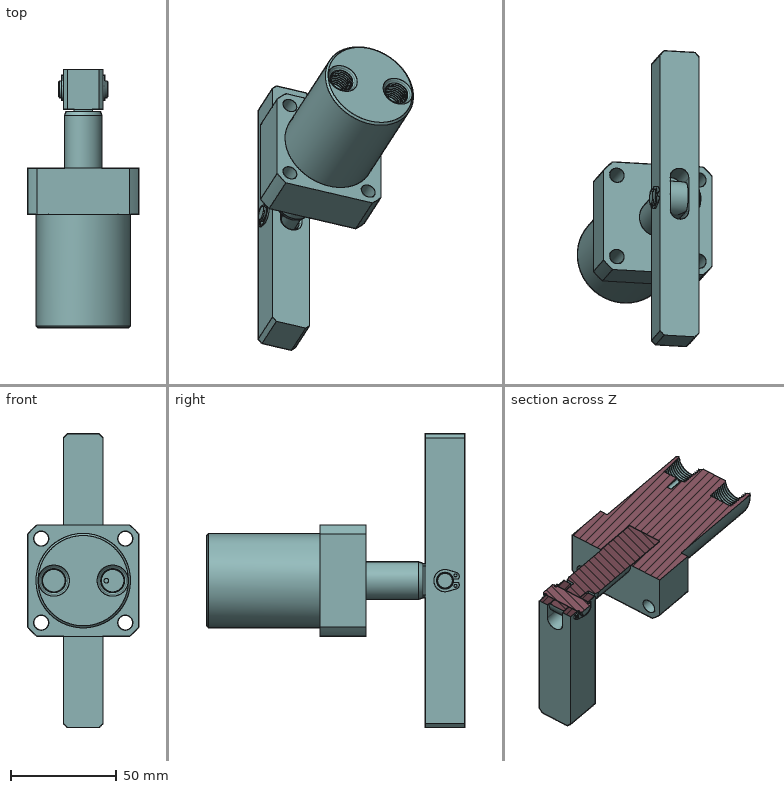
import cadquery as cq
import math


flange_size = 53.0
flange_thickness = 22.0
flange_corner_diameter = 69.0
mount_hole_diameter = 7.0
mount_hole_spacing = 40.0
barrel_diameter = 45.0
barrel_length = 54.0
barrel_chamfer = 1.0
barrel_end_y = -(flange_thickness + barrel_length)

port_spacing = 28.0
port_major_diameter = 13.157
port_minor_diameter = 11.445
port_pitch = 1.337
port_thread_turns = 9
port_taper = 1 / 16
port_mouth_diameter = 14.8
port_mouth_depth = (port_mouth_diameter - port_major_diameter) / 2
port_depth = port_mouth_depth + port_thread_turns * port_pitch

passage_diameter = 2.2
passage_x = 11.0
passage_length = 8.0

rod_diameter = 18.0
rod_end_y = 27.0
rod_chamfer_length = 2.0
tongue_diameter = 16.5
tongue_thickness = 9.0
rod_chamfer_height = (rod_diameter - tongue_diameter) / 2

arm_width = 19.0
arm_length = 140.0
arm_chamfer = 2.0
arm_gap = 1.0
arm_front_y = rod_end_y + arm_gap
arm_slot_width = tongue_thickness
arm_slot_length = 25.0
arm_slot_chamfer = 1.0

pin_y = arm_front_y + arm_width / 2
pin_diameter = 8.0
pin_length = 23.5
pin_chamfer = 0.5
groove_diameter = 7.0

ring_thickness = 0.8
ring_outer_diameter = 10.6
ring_lug_radius = 1.9
ring_lug_y = 4.9
ring_lug_z = 2.1
ring_lug_hole_diameter = 1.4
ring_lug_hole_y = 5.0
ring_lug_hole_z = 2.5
ring_gap = 1.8


def cylinder_y(diameter, start_y, end_y, x=0.0):
    """Cylinder along Y from start_y to end_y."""
    start = cq.Vector(x, start_y, 0)
    return cq.Workplane(cq.Solid.makeCylinder(diameter / 2, end_y - start_y, start, cq.Vector(0, 1, 0)))


def cylinder_x(diameter, length, y=pin_y):
    """Cylinder along X, centred on X = 0."""
    start = cq.Vector(-length / 2, y, 0)
    return cq.Workplane(cq.Solid.makeCylinder(diameter / 2, length, start, cq.Vector(1, 0, 0)))


def port_cutter(port_x):
    """Threaded port: a flared mouth, then V-shaped rings that narrow with the thread taper."""
    thread_start_y = barrel_end_y + port_mouth_depth

    def thread_point(diameter, turns):
        depth = turns * port_pitch
        return (diameter - port_taper * depth) / 2, thread_start_y + depth

    outline = (
        cq.Workplane("XY")
        .moveTo(0, barrel_end_y)
        .lineTo(port_mouth_diameter / 2, barrel_end_y)
        .lineTo(*thread_point(port_major_diameter, 0))
    )
    for turn in range(port_thread_turns):
        outline = outline.lineTo(*thread_point(port_minor_diameter, turn + 1 / 2))
        outline = outline.lineTo(*thread_point(port_major_diameter, turn + 1))
    outline = outline.lineTo(0, barrel_end_y + port_depth).close()
    return outline.revolve(360, (0, 0, 0), (0, 1, 0)).translate((port_x, 0, 0))


def make_housing():
    """Square flange with turned corners, and a round barrel with two ports in its end face."""
    flange = (
        cq.Workplane("XY")
        .box(flange_size, flange_thickness, flange_size)
        .faces(">Y")
        .workplane()
        .rect(mount_hole_spacing, mount_hole_spacing, forConstruction=True)
        .vertices()
        .hole(mount_hole_diameter)
        .translate((0, -flange_thickness / 2, 0))
    )
    flange = flange.intersect(cylinder_y(flange_corner_diameter, -flange_thickness, 0))
    barrel = cylinder_y(barrel_diameter, barrel_end_y, -flange_thickness)
    barrel = barrel.faces("<Y").chamfer(barrel_chamfer)
    housing = flange.union(barrel)
    for side in (-1, 1):
        housing = housing.cut(port_cutter(side * port_spacing / 2))
    passage_start_y = barrel_end_y + port_depth
    passage = cylinder_y(passage_diameter, passage_start_y, passage_start_y + passage_length, passage_x)
    rod_bore = cylinder_y(rod_diameter, -flange_thickness, 0)
    return housing.cut(passage).cut(rod_bore)


def make_rod():
    """Rod seated in the flange bore; its tongue is rounded about the pivot pin."""
    shaft = cylinder_y(rod_diameter, -flange_thickness, rod_end_y)
    shaft = shaft.faces(">Y").chamfer(rod_chamfer_length, rod_chamfer_height)
    tongue_round = cylinder_y(tongue_diameter, rod_end_y, pin_y + tongue_diameter / 2)
    straight_length = pin_y - rod_end_y
    tongue_blank = (
        cq.Workplane("XY")
        .box(tongue_thickness, straight_length, tongue_diameter)
        .translate((0, rod_end_y + straight_length / 2, 0))
        .union(cylinder_x(tongue_diameter, tongue_thickness))
    )
    tongue = tongue_round.intersect(tongue_blank)
    return shaft.union(tongue).cut(cylinder_x(pin_diameter, arm_width))


def make_arm():
    """Square bar along Z with a slot through it for the tongue, chamfered on the rod side."""
    bar = (
        cq.Workplane("XY")
        .box(arm_width, arm_width, arm_length)
        .edges("|Y")
        .chamfer(arm_chamfer)
        .translate((0, pin_y, 0))
    )
    slot = (
        cq.Workplane("XZ", origin=(0, arm_front_y, 0))
        .slot2D(arm_slot_length, arm_slot_width, 90)
        .extrude(-arm_width)
    )
    slot_edges = cq.selectors.BoxSelector(
        (-arm_slot_width, arm_front_y - arm_gap, -arm_slot_length),
        (arm_slot_width, arm_front_y + arm_gap, arm_slot_length),
    )
    slotted_bar = bar.cut(slot).edges(slot_edges).chamfer(arm_slot_chamfer)
    return slotted_bar.cut(cylinder_x(pin_diameter, arm_width))


def groove_cutter(side):
    """Square-edged groove for a retaining ring, next to the arm's side."""
    groove_x = side * (arm_width + ring_thickness) / 2
    collar = cylinder_x(pin_diameter, ring_thickness).cut(cylinder_x(groove_diameter, ring_thickness))
    return collar.translate((groove_x, 0, 0))


def make_pin():
    """Pivot pin with chamfered ends and a retaining ring groove near each."""
    pin = cylinder_x(pin_diameter, pin_length).faces("<X or >X").chamfer(pin_chamfer)
    for side in (-1, 1):
        pin = pin.cut(groove_cutter(side))
    return pin


def make_lug(lug_side):
    """Rounded lug joined to the ring by the straight line tangent to both circles."""
    ring_radius = ring_outer_diameter / 2
    distance = math.hypot(ring_lug_y, ring_lug_z)
    tangent_angle = math.atan2(ring_lug_z, ring_lug_y) + math.acos((ring_radius - ring_lug_radius) / distance)
    tangent_y = math.cos(tangent_angle)
    tangent_z = math.sin(tangent_angle)
    web = (
        cq.Workplane("YZ", origin=(-ring_thickness / 2, 0, 0))
        .moveTo(0, 0)
        .lineTo(ring_radius * tangent_y, lug_side * ring_radius * tangent_z)
        .lineTo(
            ring_lug_y + ring_lug_radius * tangent_y,
            lug_side * (ring_lug_z + ring_lug_radius * tangent_z),
        )
        .lineTo(ring_lug_y, lug_side * ring_lug_z)
        .lineTo(ring_lug_y, 0)
        .close()
        .extrude(ring_thickness)
    )
    tip = cylinder_x(2 * ring_lug_radius, ring_thickness, ring_lug_y)
    return web.union(tip.translate((0, 0, lug_side * ring_lug_z)))


def make_ring(side):
    """Retaining ring whose two lugs, with their plier holes, point toward +Y."""
    ring = cylinder_x(ring_outer_diameter, ring_thickness, 0)
    for lug_side in (-1, 1):
        ring = ring.union(make_lug(lug_side))
    gap = cq.Workplane("XY").box(ring_thickness, ring_outer_diameter * 2, ring_gap)
    gap = gap.translate((0, ring_outer_diameter, 0))
    ring = ring.cut(gap).cut(cylinder_x(groove_diameter, ring_thickness, 0))
    for lug_side in (-1, 1):
        hole = cylinder_x(ring_lug_hole_diameter, ring_thickness, ring_lug_hole_y)
        ring = ring.cut(hole.translate((0, 0, lug_side * ring_lug_hole_z)))
    return ring.translate((side * (arm_width + ring_thickness) / 2, pin_y, 0))


housing = make_housing()
rod = make_rod()
arm = make_arm()
pin = make_pin()
rings = [make_ring(side) for side in (-1, 1)]

result = cq.Compound.makeCompound(
    [housing.val(), rod.val(), arm.val(), pin.val(), *[ring.val() for ring in rings]]
)